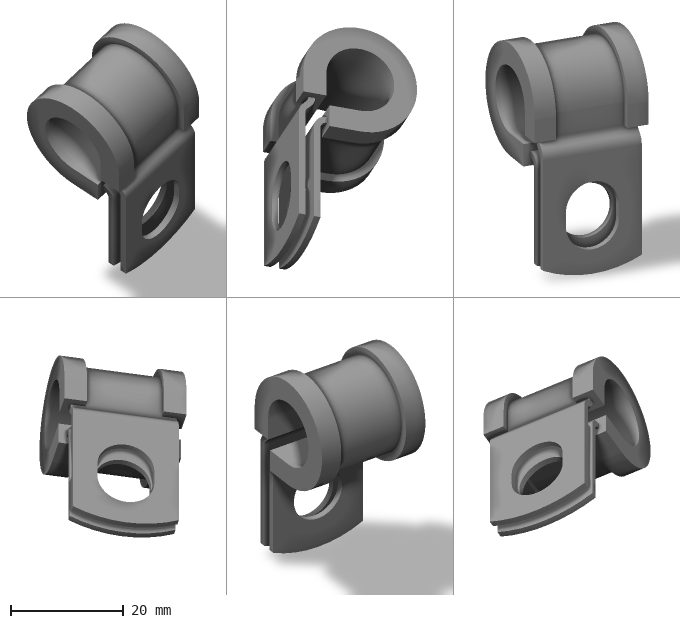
import cadquery as cq
import math

bore_radius = 6.35
flange_radius = 10.65
cushion_width = 22.1
flange_width = 4.1
lower_end_x = 5.75
upper_end_z = -4.45

strap_radius = 9.15
strap_thickness = 1.2
strap_width = 19.15
strap_inner_radius = strap_radius - strap_thickness
bend_inner_radius = 1.2
bend_outer_radius = bend_inner_radius + strap_thickness

outer_leg_x = 10.95
leg_bottom_z = -30.9
leg_corner_z = -28.85
jog_start_z = upper_end_z
jog_angle = math.radians(45)
hole_diameter = 10.3
slot_length = 12.9
hole_z = -19.8


def extrude_along_y(profile, width):
    """Extrude an XZ profile symmetrically about the plane Y = 0."""
    return profile.extrude(width / 2, both=True)


def c_section(outer_radius, inner_radius, width):
    """Three-quarter ring with straight tangent runs to its lower and upper ends."""
    profile = (
        cq.Workplane("XZ")
        .moveTo(lower_end_x, -outer_radius)
        .lineTo(0, -outer_radius)
        .threePointArc(polar(outer_radius, math.radians(135)), (outer_radius, 0))
        .lineTo(outer_radius, upper_end_z)
        .lineTo(inner_radius, upper_end_z)
        .lineTo(inner_radius, 0)
        .threePointArc(polar(inner_radius, math.radians(135)), (0, -inner_radius))
        .lineTo(lower_end_x, -inner_radius)
        .close()
    )
    return extrude_along_y(profile, width)


def polar(radius, angle, center=(0, 0)):
    """Point at a radius and angle about a center in the XZ plane."""
    return (center[0] + radius * math.cos(angle), center[1] + radius * math.sin(angle))


def make_cushion():
    core = c_section(strap_radius, bore_radius, cushion_width)
    flange = c_section(flange_radius, bore_radius, flange_width)
    flange_offset = (cushion_width - flange_width) / 2
    for side in (-1, 1):
        core = core.union(flange.translate((0, side * flange_offset, 0)))
    return core


def make_inner_leg():
    """Strap run leaving the lower end and bending 90 degrees downward."""
    bend_center = (lower_end_x, -strap_radius - bend_inner_radius)
    inner_x = lower_end_x + bend_inner_radius
    outer_x = lower_end_x + bend_outer_radius
    middle = math.radians(45)
    profile = (
        cq.Workplane("XZ")
        .moveTo(0, -strap_inner_radius)
        .lineTo(lower_end_x, -strap_inner_radius)
        .threePointArc(polar(bend_outer_radius, middle, bend_center), (outer_x, bend_center[1]))
        .lineTo(outer_x, leg_bottom_z)
        .lineTo(inner_x, leg_bottom_z)
        .lineTo(inner_x, bend_center[1])
        .threePointArc(
            polar(bend_inner_radius, middle, bend_center),
            (lower_end_x, -strap_radius),
        )
        .lineTo(0, -strap_radius)
        .close()
    )
    return extrude_along_y(profile, strap_width)


def make_outer_leg():
    """Strap run leaving the upper end, jogging outward, then hanging straight down."""
    leg_inner_x = outer_leg_x - strap_thickness
    jog_offset = outer_leg_x - strap_radius
    radius_sum = bend_inner_radius + bend_outer_radius
    straight_run = (jog_offset - radius_sum * (1 - math.cos(jog_angle))) / math.sin(jog_angle)
    jog_drop = radius_sum * math.sin(jog_angle) + straight_run * math.cos(jog_angle)
    jog_end_z = jog_start_z - jog_drop
    upper_center = (strap_radius + bend_inner_radius, jog_start_z)
    lower_center = (leg_inner_x - bend_inner_radius, jog_end_z)

    upper_middle = math.pi + jog_angle / 2
    upper_exit = math.pi + jog_angle
    lower_entry = jog_angle
    lower_middle = jog_angle / 2
    profile = (
        cq.Workplane("XZ")
        .moveTo(strap_radius, 0)
        .lineTo(strap_radius, jog_start_z)
        .threePointArc(
            polar(bend_inner_radius, upper_middle, upper_center),
            polar(bend_inner_radius, upper_exit, upper_center),
        )
        .lineTo(*polar(bend_outer_radius, lower_entry, lower_center))
        .threePointArc(
            polar(bend_outer_radius, lower_middle, lower_center),
            (outer_leg_x, jog_end_z),
        )
        .lineTo(outer_leg_x, leg_bottom_z)
        .lineTo(leg_inner_x, leg_bottom_z)
        .lineTo(leg_inner_x, jog_end_z)
        .threePointArc(
            polar(bend_inner_radius, lower_middle, lower_center),
            polar(bend_inner_radius, lower_entry, lower_center),
        )
        .lineTo(*polar(bend_outer_radius, upper_exit, upper_center))
        .threePointArc(
            polar(bend_outer_radius, upper_middle, upper_center),
            (strap_inner_radius, jog_start_z),
        )
        .lineTo(strap_inner_radius, 0)
        .close()
    )
    return extrude_along_y(profile, strap_width)


def make_leg_outline():
    """Envelope of a leg, extruded along X, with an arched lower edge."""
    half_width = strap_width / 2
    return (
        cq.Workplane("YZ")
        .moveTo(-half_width, 0)
        .lineTo(-half_width, leg_corner_z)
        .threePointArc((0, leg_bottom_z), (half_width, leg_corner_z))
        .lineTo(half_width, 0)
        .close()
        .extrude(outer_leg_x)
    )


def make_bolt_hole():
    return (
        cq.Workplane("YZ")
        .center(0, hole_z)
        .circle(hole_diameter / 2)
        .extrude(outer_leg_x)
    )


def make_bolt_slot():
    """Slot as wide as the bolt hole and lengthened along Z."""
    return (
        cq.Workplane("YZ")
        .center(0, hole_z)
        .slot2D(slot_length, hole_diameter, 90)
        .extrude(outer_leg_x)
    )


leg_outline = make_leg_outline()
inner_leg = make_inner_leg().intersect(leg_outline).cut(make_bolt_hole())
outer_leg = make_outer_leg().intersect(leg_outline).cut(make_bolt_slot())
result = make_cushion().union(inner_leg).union(outer_leg)